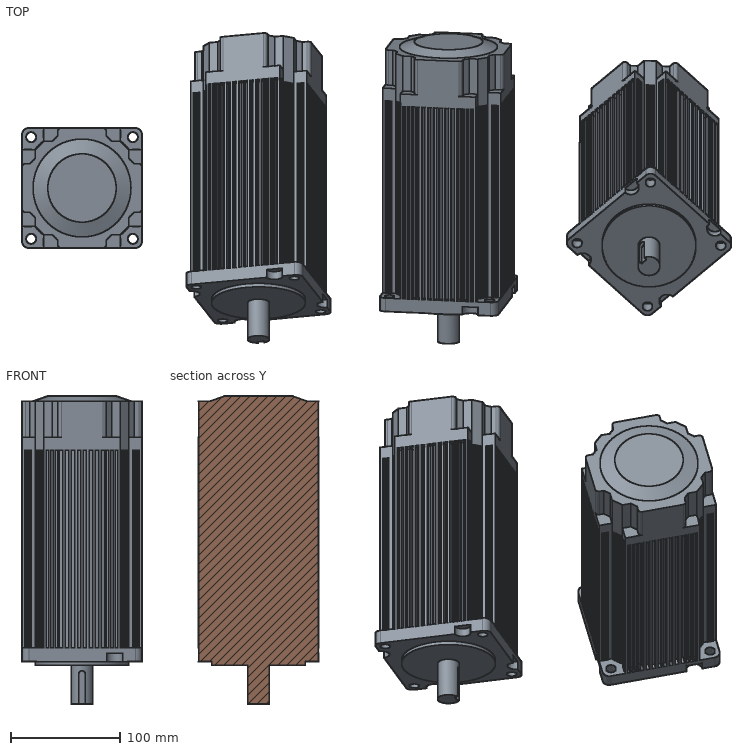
import cadquery as cq
import math

body_side = 110.0
half_side = body_side / 2

shaft_end_z = 0.0
pilot_bottom_z = 35.5
flange_bottom_z = 39.0
flange_top_z = 51.5
fins_top_z = 232.5
shoulder_z = 244.2
cap_top_z = 277.2
dome_top_z = 282.0

flange_corner_radius = 6.2
bolt_offset = 46.5
bolt_hole_radius = 4.5
edge_relief_radius = 7.3
edge_relief_offset = 30.0
edge_relief_height = 7.5

pilot_radius = 86.0 / 2
shaft_radius = 20.0 / 2
keyway_width = 6.0
keyway_depth = 3.5
keyway_length = 30.5

corner_wall = 35.0
corner_inner = 43.0

pocket_end = 22.3
pocket_chamfer = 4.8
pocket_lip_radius = 3.0

dome_base_radius = 44.8
dome_top_radius = 31.3

core_radius = 50.8
wide_groove_width = 3.0
wide_groove_first = 2.5
wide_groove_last = 19.2
wide_groove_count = 4
wide_groove_pitch = (wide_groove_last - wide_groove_first) / (wide_groove_count - 1)
narrow_groove_width = 2.3
narrow_groove_first = 23.5
narrow_groove_last = 31.5
narrow_groove_count = 3
narrow_groove_pitch = (narrow_groove_last - narrow_groove_first) / (narrow_groove_count - 1)
narrow_groove_depth = 5.5

rib_width = 0.8
rib_pitch = 1.7
rib_height = 0.5
wall_rib_count = 4
wall_rib_middle = 49.4
diagonal_rib_count = 5

quarter_turns = (0, 90, 180, 270)


def prism(points, bottom, top):
    """Vertical prism over a closed polygon."""
    return cq.Workplane("XY", origin=(0, 0, bottom)).polyline(points).close().extrude(top - bottom)


def block(x_range, y_range, z_range):
    """Axis-aligned box between the given limits."""
    (x0, x1), (y0, y1), (z0, z1) = x_range, y_range, z_range
    return cq.Workplane("XY").box(x1 - x0, y1 - y0, z1 - z0, centered=False).translate((x0, y0, z0))


def disc(radius, bottom, top):
    """Round column on the motor axis."""
    return cq.Workplane("XY", origin=(0, 0, bottom)).circle(radius).extrude(top - bottom)


def around(shape):
    """Copies of a shape at each quarter turn about the motor axis."""
    return [shape.rotate((0, 0, 0), (0, 0, 1), angle) for angle in quarter_turns]


def cut_around(body, shape):
    """Cut a shape from the body at each quarter turn."""
    for copy in around(shape):
        body = body.cut(copy)
    return body


def corner_relief():
    """Square notch of the corner at +X +Y, with a slanted inner face."""
    return prism(
        [
            (half_side, half_side),
            (corner_wall, half_side),
            (corner_wall, corner_inner),
            (corner_inner, corner_wall),
            (half_side, corner_wall),
        ],
        flange_top_z,
        cap_top_z,
    )


def cap_pocket():
    """Open pocket on the -Y side, with a chamfered corner and a rounded lip."""
    lip_x = pocket_end - pocket_lip_radius
    lip_y = pocket_lip_radius - half_side
    lip_diagonal = pocket_lip_radius / math.sqrt(2)
    return (
        cq.Workplane("XY", origin=(0, 0, shoulder_z))
        .moveTo(lip_x, -half_side)
        .threePointArc((lip_x + lip_diagonal, lip_y - lip_diagonal), (pocket_end, lip_y))
        .lineTo(pocket_end, -corner_inner - pocket_chamfer)
        .lineTo(pocket_end + pocket_chamfer, -corner_inner)
        .lineTo(corner_wall, -corner_inner)
        .lineTo(corner_wall, -half_side)
        .close()
        .extrude(cap_top_z - shoulder_z)
    )


def side_grooves():
    """Vertical grooves of the -Y side: wide ones reach the round core, narrow ones have flat floors."""
    z_range = (flange_top_z, fins_top_z)
    core = disc(core_radius, flange_top_z, fins_top_z)
    grooves = cq.Workplane("XY")
    for side in (-1, 1):
        for i in range(wide_groove_count):
            x = side * (wide_groove_first + i * wide_groove_pitch)
            x_range = (x - wide_groove_width / 2, x + wide_groove_width / 2)
            grooves = grooves.add(block(x_range, (-half_side, -half_side / 2), z_range).cut(core))
        for i in range(narrow_groove_count):
            x = side * (narrow_groove_first + i * narrow_groove_pitch)
            x_range = (x - narrow_groove_width / 2, x + narrow_groove_width / 2)
            grooves = grooves.add(block(x_range, (-half_side, narrow_groove_depth - half_side), z_range))
    return cq.Workplane(cq.Compound.makeCompound(grooves.vals()))


def corner_ribs():
    """Fine vertical ribs on the two walls and the slanted face of the corner at +X +Y."""
    z_range = (flange_top_z, fins_top_z)
    ribs = []
    for i in range(wall_rib_count):
        x = wall_rib_middle + (i - (wall_rib_count - 1) / 2) * rib_pitch
        rib_range = (x - rib_width / 2, x + rib_width / 2)
        wall_range = (corner_wall - rib_height, corner_wall + rib_height)
        ribs.append(block(rib_range, wall_range, z_range))
        ribs.append(block(wall_range, rib_range, z_range))
    slant_distance = (corner_wall + corner_inner) / math.sqrt(2)
    for i in range(diagonal_rib_count):
        y = (i - (diagonal_rib_count - 1) / 2) * rib_pitch
        rib = block(
            (slant_distance - rib_height, slant_distance + rib_height),
            (y - rib_width / 2, y + rib_width / 2),
            z_range,
        )
        ribs.append(rib.rotate((0, 0, 0), (0, 0, 1), 45))
    return ribs


def flange():
    """Square mounting plate with four bolt holes and a round relief in the underside of each edge."""
    plate = (
        cq.Workplane("XY", origin=(0, 0, flange_bottom_z))
        .rect(body_side, body_side)
        .extrude(flange_top_z - flange_bottom_z)
        .edges("|Z")
        .fillet(flange_corner_radius)
        .faces(">Z")
        .workplane()
        .rect(2 * bolt_offset, 2 * bolt_offset, forConstruction=True)
        .vertices()
        .hole(2 * bolt_hole_radius)
    )
    relief = disc(edge_relief_radius, flange_bottom_z, flange_bottom_z + edge_relief_height)
    return cut_around(plate, relief.translate((edge_relief_offset, -half_side, 0)))


def housing():
    """Grooved square body and end cap, with ribbed bolt reliefs at the corners."""
    body = cq.Workplane("XY", origin=(0, 0, flange_top_z)).rect(body_side, body_side)
    body = body.extrude(cap_top_z - flange_top_z)
    for shape in (corner_relief(), cap_pocket(), cap_pocket().mirror("YZ"), side_grooves()):
        body = cut_around(body, shape)
    for rib in corner_ribs():
        for copy in around(rib):
            body = body.union(copy)
    return body


def dome():
    """Shallow cone with a flat top on the end cap."""
    return (
        cq.Workplane("XZ")
        .polyline(
            [
                (0, cap_top_z),
                (dome_base_radius, cap_top_z),
                (dome_top_radius, dome_top_z),
                (0, dome_top_z),
            ]
        )
        .close()
        .revolve(360, (0, 0, 0), (0, 1, 0))
    )


def keyed_shaft():
    """Shaft with a keyway on its -Y side, open at the free end and rounded at the other."""
    shaft = disc(shaft_radius, shaft_end_z, flange_bottom_z)
    floor_y = keyway_depth - shaft_radius
    round_end_z = keyway_length - keyway_width / 2
    keyway = (
        cq.Workplane("XZ", origin=(0, floor_y, 0))
        .moveTo(-keyway_width / 2, shaft_end_z)
        .lineTo(-keyway_width / 2, round_end_z)
        .threePointArc((0, keyway_length), (keyway_width / 2, round_end_z))
        .lineTo(keyway_width / 2, shaft_end_z)
        .close()
        .extrude(shaft_radius)
    )
    return shaft.cut(keyway)


pilot = disc(pilot_radius, pilot_bottom_z, flange_bottom_z)
result = housing().union(flange()).union(dome()).union(pilot).union(keyed_shaft())